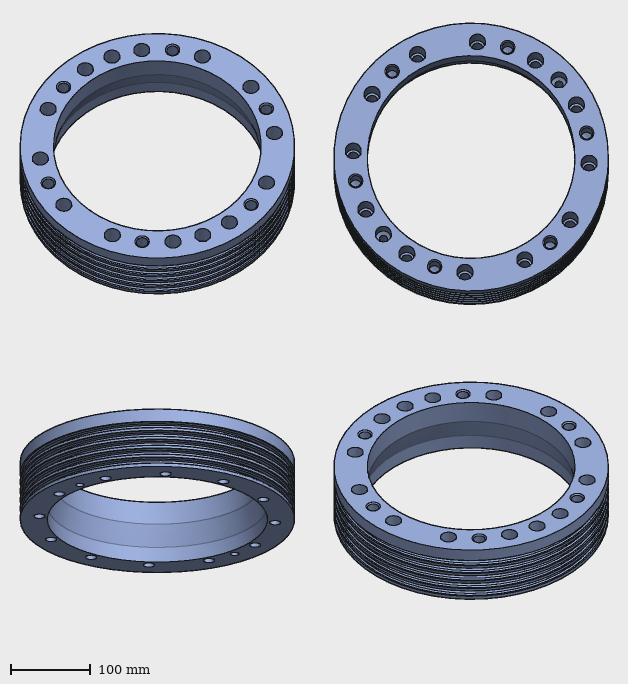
import cadquery as cq
import math

height = 78.0
outer_radius = 172.0
upper_bore_radius = 130.0
lower_bore_radius = 138.0
upper_bore_depth = 30.0
taper_end_depth = 58.0

top_land_height = 17.0
groove_count = 5
groove_pitch = 12.0
groove_floor_radius = 162.0
groove_floor_width = 6.0
ledge_width = 2.0
bevel_length = 2.5
bevel_height = 1.2
groove_mouth_width = groove_floor_width + 2 * bevel_height
first_groove_depth = top_land_height + groove_mouth_width / 2

hole_circle_radius = 148.0
drill_point_angle = 118

bolt_angles = range(15, 360, 30)
bolt_radius = 7.0
counterbore_radius = 10.0
counterbore_depth = 38.0

tapped_angles = [30, 90, 150, 210, 270, 330]
tapped_radius = 7.2
tapped_depth = 27.5
tapped_chamfer = 1.7

dowel_angles = [0, 180]
dowel_radius = 10.0
dowel_depth = 27.5
dowel_through_radius = 5.0


def cone_height(radius_drop):
    """Axial length of a drill-point cone over the given change in radius."""
    return radius_drop / math.tan(math.radians(drill_point_angle / 2))


def revolved(points):
    """Solid of revolution about Z from (radius, z) points."""
    return cq.Workplane("XZ").polyline(points).close().revolve(360, (0, 0), (0, 1))


def ring_body():
    taper_top = height - upper_bore_depth
    taper_bottom = height - taper_end_depth
    return revolved([
        (upper_bore_radius, height),
        (outer_radius, height),
        (outer_radius, 0),
        (lower_bore_radius, 0),
        (lower_bore_radius, taper_bottom),
        (upper_bore_radius, taper_top),
    ])


def groove(center_z):
    half_floor = groove_floor_width / 2
    half_mouth = groove_mouth_width / 2
    ledge_radius = outer_radius - ledge_width
    bevel_radius = ledge_radius - bevel_length
    wall = [
        (groove_floor_radius, half_floor),
        (bevel_radius, half_floor),
        (ledge_radius, half_mouth),
        (outer_radius, half_mouth),
    ]
    lower_wall = [(radius, center_z - offset) for radius, offset in wall]
    upper_wall = [(radius, center_z + offset) for radius, offset in reversed(wall)]
    return revolved(lower_wall + upper_wall)


def bolt_hole():
    shoulder = height - counterbore_depth
    return revolved([
        (0, 0),
        (bolt_radius, 0),
        (bolt_radius, shoulder),
        (counterbore_radius, shoulder),
        (counterbore_radius, height),
        (0, height),
    ])


def tapped_hole():
    bottom = height - tapped_depth
    return revolved([
        (0, bottom - cone_height(tapped_radius)),
        (tapped_radius, bottom),
        (tapped_radius, height - tapped_chamfer),
        (tapped_radius + tapped_chamfer, height),
        (0, height),
    ])


def dowel_hole():
    bottom = height - dowel_depth
    cone_end = bottom - cone_height(dowel_radius - dowel_through_radius)
    return revolved([
        (0, 0),
        (dowel_through_radius, 0),
        (dowel_through_radius, cone_end),
        (dowel_radius, bottom),
        (dowel_radius, height),
        (0, height),
    ])


def cut_on_circle(body, cutter, angles):
    placed = cutter.translate((hole_circle_radius, 0, 0))
    for angle in angles:
        body = body.cut(placed.rotate((0, 0, 0), (0, 0, 1), angle))
    return body


result = ring_body()
for index in range(groove_count):
    result = result.cut(groove(height - first_groove_depth - index * groove_pitch))
result = cut_on_circle(result, bolt_hole(), bolt_angles)
result = cut_on_circle(result, tapped_hole(), tapped_angles)
result = cut_on_circle(result, dowel_hole(), dowel_angles)